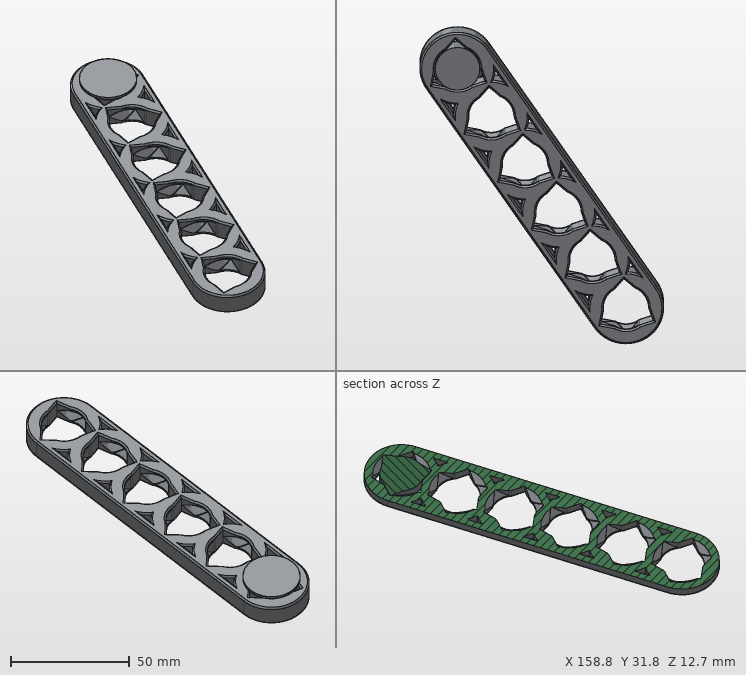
import cadquery as cq
import math

bar_length = 158.8
bar_width = 31.8
bar_height = 9.5
edge_chamfer = 0.75
chamfer_angle = 45
bar_middle = bar_height / 2

hole_count = 6
hole_pitch = 25.4
bore_radius = 9.5
lobe_radius = 9.0
tip_radius = lobe_radius * math.sqrt(2)
first_hole_x = -hole_pitch * (hole_count - 1) / 2

lobe_count = 3
lobe_spacing = 360 / lobe_count
entry_angle = 90
turn_angle = 60
lock_angle = entry_angle - turn_angle
track_radius = 12.4
track_half_height = bar_middle - edge_chamfer

window_base_y = 12.7
window_side_radius = 15.9

shank_radius = 18.7 / 2
head_radius = 24.1 / 2
button_top = 12.7
cone_bottom = bar_height - edge_chamfer
cone_top = cone_bottom + head_radius - shank_radius


def both_ends(mouth):
    """Copy a mouth flare from the bottom face of the bar to its top face as well."""
    return mouth.union(mouth.mirror("XY").translate((0, 0, bar_height)))


def teardrop(angle, radius, height, taper=0):
    """Round prism with a right-angled tip that points along the given angle."""
    tangent = radius / math.sqrt(2)
    return (
        cq.Workplane("XY")
        .moveTo(tangent, tangent)
        .threePointArc((-radius, 0), (tangent, -tangent))
        .lineTo(radius * math.sqrt(2), 0)
        .close()
        .extrude(height, taper=taper)
        .rotate((0, 0, 0), (0, 0, 1), angle)
    )


def trefoil(first_angle, radius, height, taper=0):
    """Union of the teardrops, evenly turned about the hole axis."""
    shape = teardrop(first_angle, radius, height, taper)
    for lobe in range(1, lobe_count):
        shape = shape.union(teardrop(first_angle + lobe * lobe_spacing, radius, height, taper))
    return shape


def double_cone(radius, sweep_angle):
    """Sector of a 45 degree double cone, widest at mid height and starting on the +X side."""
    end_radius = radius - track_half_height
    return (
        cq.Workplane("XZ")
        .moveTo(0, bar_middle - track_half_height)
        .lineTo(end_radius, bar_middle - track_half_height)
        .lineTo(radius, bar_middle)
        .lineTo(end_radius, bar_middle + track_half_height)
        .lineTo(0, bar_middle + track_half_height)
        .close()
        .revolve(sweep_angle, (0, 0, 0), (0, 1, 0))
    )


def locked_lobes():
    """Lobes in their locked position, which is also the shape of the lock pockets."""
    return trefoil(lock_angle, lobe_radius, bar_height).intersect(double_cone(tip_radius, 360))


def keyhole_cutter():
    bore = cq.Workplane("XY").circle(bore_radius).extrude(bar_height)
    bore_mouth = (
        cq.Workplane("XY")
        .circle(bore_radius + edge_chamfer)
        .extrude(edge_chamfer, taper=chamfer_angle)
    )
    tips = trefoil(entry_angle, lobe_radius, bar_height)
    tip_mouth = trefoil(entry_angle, lobe_radius + edge_chamfer, edge_chamfer, taper=chamfer_angle)
    cutter = bore.union(tips).union(both_ends(bore_mouth)).union(both_ends(tip_mouth))
    cutter = cutter.union(locked_lobes())
    for lobe in range(lobe_count):
        track = double_cone(track_radius, turn_angle)
        cutter = cutter.union(track.rotate((0, 0, 0), (0, 0, 1), lock_angle + lobe * lobe_spacing))
    return cutter


def window_prism(base_y, side_radius, height, taper=0):
    """Prism between a straight base and two arcs about the keyholes on either side."""
    axis_x = hole_pitch / 2
    base_angle = math.asin(base_y / side_radius)
    tip_angle = math.acos(axis_x / side_radius)
    middle_angle = (base_angle + tip_angle) / 2
    corner_x = axis_x - side_radius * math.cos(base_angle)
    middle_x = axis_x - side_radius * math.cos(middle_angle)
    middle_y = side_radius * math.sin(middle_angle)
    tip_y = side_radius * math.sin(tip_angle)
    return (
        cq.Workplane("XY")
        .moveTo(-corner_x, base_y)
        .lineTo(corner_x, base_y)
        .threePointArc((middle_x, middle_y), (0, tip_y))
        .threePointArc((-middle_x, middle_y), (-corner_x, base_y))
        .close()
        .extrude(height, taper=taper)
    )


def window_pair_cutter():
    window = window_prism(window_base_y, window_side_radius, bar_height)
    mouth = window_prism(
        window_base_y + edge_chamfer,
        window_side_radius - edge_chamfer,
        edge_chamfer,
        taper=chamfer_angle,
    )
    window = window.union(both_ends(mouth))
    return window.union(window.mirror("XZ"))


def make_bar():
    bar = (
        cq.Workplane("XY")
        .slot2D(bar_length, bar_width)
        .extrude(bar_height)
        .faces("<Z or >Z")
        .chamfer(edge_chamfer)
    )
    keyhole = keyhole_cutter()
    for index in range(hole_count):
        bar = bar.cut(keyhole.translate((first_hole_x + index * hole_pitch, 0, 0)))
    windows = window_pair_cutter()
    for index in range(hole_count - 1):
        bar = bar.cut(windows.translate((first_hole_x + (index + 0.5) * hole_pitch, 0, 0)))
    return bar


def make_button():
    shank_and_head = (
        cq.Workplane("XZ")
        .lineTo(shank_radius, 0)
        .lineTo(shank_radius, cone_bottom)
        .lineTo(head_radius, cone_top)
        .lineTo(head_radius, button_top)
        .lineTo(0, button_top)
        .close()
        .revolve(360, (0, 0, 0), (0, 1, 0))
    )
    return shank_and_head.union(locked_lobes()).translate((first_hole_x, 0, 0))


bar = make_bar()
button = make_button()

result = cq.Compound.makeCompound([bar.solids().val(), button.solids().val()])